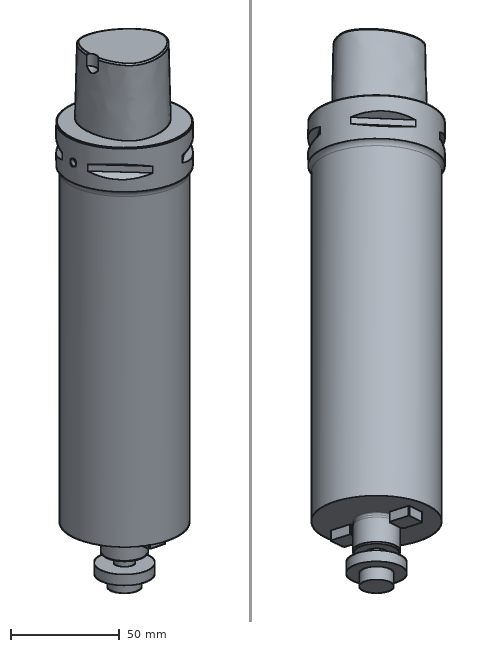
import math

import cadquery as cq


shank_length = 38.0
shank_width = 44.15
shank_taper = 1 / 20
lobe_height = 1.4
outline_points = 72
shank_edge_chamfer = 0.8

notch_diameter = 10.0
notch_wall_depth = 6.2
notch_tip_angle = 90.0
notch_back_y = -17.6

flange_diameter = 63.0
flange_length = 22.0
flange_edge_chamfer = 0.5
neck_length = 2.8
body_diameter = 60.0
body_end_z = -200.0

groove_level_z = -12.0
groove_floor_radius = 27.7
groove_floor_height = 3.3
groove_flank_angle = 30.0
groove_count = 4
groove_first_angle = 45.0
groove_cut_margin = 1.0
pin_hole_diameter = 4.0
pin_hole_wall_depth = 0.5
pin_hole_tip_angle = 120.0

spigot_diameter = 22.0
spigot_length = 15.6
spigot_chamfer = 0.7
relief_diameter = 21.4
relief_length = 2.4
relief_fillet = 0.3
relief_run_out_angle = 15.0

screw_diameter = 10.0
washer_diameter = 28.0
washer_top_z = body_end_z - 20.5
washer_thickness = 5.5
screw_head_diameter = 16.0
screw_end_z = -232.5

key_width = 10.0
key_height = 5.0
key_inner_x = 11.3
key_outer_x = 23.2
key_chamfer = 0.5


def polygon_wire(width, z):
    """Constant-width three-lobed outline with one lobe toward +Y."""
    points = []
    for i in range(outline_points):
        angle = 2 * math.pi * i / outline_points
        along_lobe = width / 2 * math.cos(angle) + lobe_height * (
            2 * math.cos(2 * angle) - math.cos(4 * angle)
        )
        across_lobe = width / 2 * math.sin(angle) - lobe_height * (
            2 * math.sin(2 * angle) + math.sin(4 * angle)
        )
        points.append(cq.Vector(-across_lobe, along_lobe, z))
    return cq.Wire.assembleEdges([cq.Edge.makeSpline(points, periodic=True)])


def polygon_frustum(bottom_width, bottom_z, top_width, top_z):
    wires = [polygon_wire(bottom_width, bottom_z), polygon_wire(top_width, top_z)]
    return cq.Workplane(obj=cq.Solid.makeLoft(wires, True))


def width_at(z):
    return shank_width - shank_taper * z


def make_shank():
    edge_z = shank_length - shank_edge_chamfer
    tip_width = width_at(edge_z) - 2 * shank_edge_chamfer
    taper = polygon_frustum(shank_width, 0, width_at(edge_z), edge_z)
    tip = polygon_frustum(width_at(edge_z), edge_z, tip_width, shank_length)
    return taper.union(tip)


def make_notch():
    """Vertical drilled pocket with a conical bottom, mostly outside the shank's -Y side."""
    radius = notch_diameter / 2
    wall_end_z = shank_length - notch_wall_depth
    tip_z = wall_end_z - radius / math.tan(math.radians(notch_tip_angle / 2))
    return (
        cq.Workplane("XZ", origin=(0, notch_back_y - radius, 0))
        .polyline([(0, tip_z), (radius, wall_end_z), (radius, shank_length), (0, shank_length)])
        .close()
        .revolve(360, (0, 0), (0, 1))
    )


def make_turned_body():
    """Flange, body, spigot and clamping screw as one revolved profile."""
    flange_radius = flange_diameter / 2
    body_radius = body_diameter / 2
    relief_radius = relief_diameter / 2
    spigot_radius = spigot_diameter / 2
    screw_radius = screw_diameter / 2
    washer_radius = washer_diameter / 2
    head_radius = screw_head_diameter / 2
    relief_end_z = body_end_z - relief_length
    run_out_length = (spigot_radius - relief_radius) / math.tan(math.radians(relief_run_out_angle))
    fillet_middle = relief_fillet * (1 - math.sqrt(0.5))
    spigot_end_z = body_end_z - spigot_length
    washer_bottom_z = washer_top_z - washer_thickness
    neck_end_z = -flange_length - neck_length
    neck_step = flange_radius - body_radius
    neck_arc_radius = (neck_step**2 + neck_length**2) / (2 * neck_step)
    neck_half_angle = math.asin(neck_length / neck_arc_radius) / 2
    neck_middle = (
        body_radius + neck_arc_radius * (1 - math.cos(neck_half_angle)),
        neck_end_z + neck_arc_radius * math.sin(neck_half_angle),
    )
    flange_profile = [
        (0, 0),
        (flange_radius - flange_edge_chamfer, 0),
        (flange_radius, -flange_edge_chamfer),
        (flange_radius, -flange_length),
    ]
    body_profile = [
        (body_radius, body_end_z),
        (relief_radius + relief_fillet, body_end_z),
    ]
    spigot_profile = [
        (relief_radius, relief_end_z + run_out_length),
        (spigot_radius, relief_end_z),
        (spigot_radius, spigot_end_z + spigot_chamfer),
        (spigot_radius - spigot_chamfer, spigot_end_z),
        (screw_radius, spigot_end_z),
        (screw_radius, washer_top_z),
        (washer_radius, washer_top_z),
        (washer_radius, washer_bottom_z),
        (head_radius, washer_bottom_z),
        (head_radius, screw_end_z),
        (0, screw_end_z),
    ]
    return (
        cq.Workplane("XZ")
        .polyline(flange_profile)
        .threePointArc(neck_middle, (body_radius, neck_end_z))
        .polyline(body_profile, includeCurrent=True)
        .threePointArc(
            (relief_radius + fillet_middle, body_end_z - fillet_middle),
            (relief_radius, body_end_z - relief_fillet),
        )
        .polyline(spigot_profile, includeCurrent=True)
        .close()
        .revolve(360, (0, 0), (0, 1))
    )


def make_gripper_groove(angle):
    """Straight trapezoidal groove crossing the flange rim at the given angle."""
    outer_radius = flange_diameter / 2 + groove_cut_margin
    flank_rise = (outer_radius - groove_floor_radius) * math.tan(math.radians(groove_flank_angle))
    floor_half = groove_floor_height / 2
    mouth_half = floor_half + flank_rise
    return (
        cq.Workplane("XZ", origin=(0, 0, groove_level_z))
        .polyline([
            (groove_floor_radius, -floor_half),
            (outer_radius, -mouth_half),
            (outer_radius, mouth_half),
            (groove_floor_radius, floor_half),
        ])
        .close()
        .extrude(flange_diameter / 2, both=True)
        .rotate((0, 0, 0), (0, 0, 1), angle)
    )


def make_pin_hole():
    """Shallow drilled hole with a conical bottom, pointing at the axis from the -Y side."""
    radius = pin_hole_diameter / 2
    mouth_y = -flange_diameter / 2
    wall_end_y = mouth_y + pin_hole_wall_depth
    tip_y = wall_end_y + radius / math.tan(math.radians(pin_hole_tip_angle / 2))
    return (
        cq.Workplane("XY", origin=(0, 0, groove_level_z))
        .polyline([(0, tip_y), (radius, wall_end_y), (radius, mouth_y), (0, mouth_y)])
        .close()
        .revolve(360, (0, 0), (0, 1))
    )


def make_key(side):
    key_length = key_outer_x - key_inner_x
    key_centre_x = side * (key_inner_x + key_outer_x) / 2
    return (
        cq.Workplane("XY", origin=(key_centre_x, 0, body_end_z))
        .rect(key_length, key_width)
        .extrude(-key_height)
        .edges("|Z")
        .chamfer(key_chamfer)
    )


result = make_turned_body().union(make_shank().cut(make_notch()))

for index in range(groove_count):
    result = result.cut(make_gripper_groove(groove_first_angle + index * 360 / groove_count))

result = result.cut(make_pin_hole())

for side in (-1, 1):
    result = result.union(make_key(side))